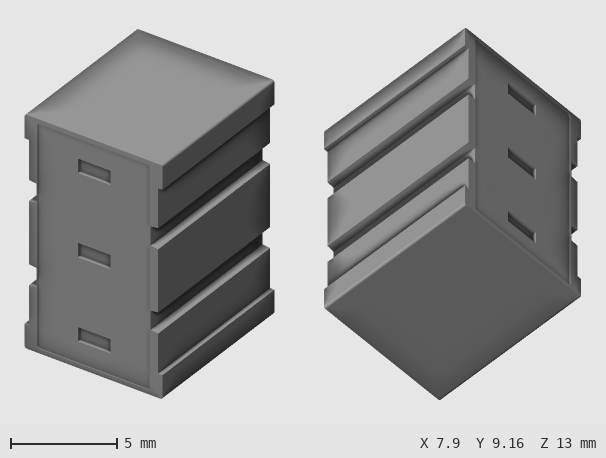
import cadquery as cq

width = 7.9
depth = 9.16
height = 13
corner_radius = 0.13

end_band_height = 1.35
side_step = 0.25
contact_pitch = 4.68
groove_mouth = 1.17
groove_floor = 1.07
groove_floor_inset = 0.68

panel_width = 6.42
panel_height = 12.48
panel_corner_radius = 0.13
panel_recess = 0.06
pocket_width = 1.87
pocket_height = 0.79
pocket_depth = 0.2

front_y = -depth / 2


def make_block():
    """Rectangular block with its four long edges rounded."""
    return cq.Workplane("XY").box(width, depth, height).edges("|Y").fillet(corner_radius)


def make_side_cut(side):
    """Step and two tapered grooves along the full depth; side is -1 or +1."""
    outer_x = side * width / 2
    step_x = side * (width / 2 - side_step)
    floor_x = side * (width / 2 - groove_floor_inset)
    step_z = height / 2 - end_band_height

    points = [(outer_x, -step_z), (step_x, -step_z)]
    for groove_z in (-contact_pitch / 2, contact_pitch / 2):
        points += [
            (step_x, groove_z - groove_mouth / 2),
            (floor_x, groove_z - groove_floor / 2),
            (floor_x, groove_z + groove_floor / 2),
            (step_x, groove_z + groove_mouth / 2),
        ]
    points += [(step_x, step_z), (outer_x, step_z)]
    return cq.Workplane("XZ").polyline(points).close().extrude(depth / 2, both=True)


def make_front_cut(cut_width, cut_height, cut_depth, start_y, center_z=0):
    """Rectangular cutter running inward (+Y) from start_y."""
    center = (0, start_y + cut_depth / 2, center_z)
    return cq.Workplane("XY").box(cut_width, cut_depth, cut_height).translate(center)


result = make_block()
for side in (-1, 1):
    result = result.cut(make_side_cut(side))

panel = make_front_cut(panel_width, panel_height, panel_recess, front_y)
result = result.cut(panel.edges("|Y").fillet(panel_corner_radius))

panel_y = front_y + panel_recess
for pocket_z in (-contact_pitch, 0, contact_pitch):
    pocket = make_front_cut(pocket_width, pocket_height, pocket_depth, panel_y, pocket_z)
    result = result.cut(pocket)